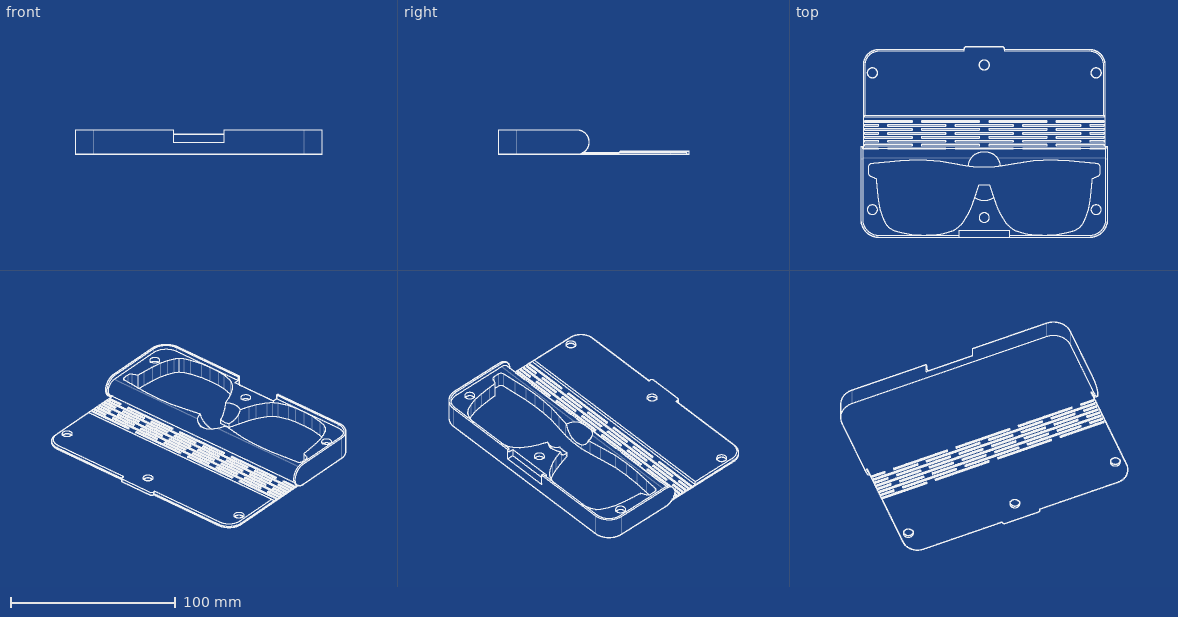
import cadquery as cq
TRAY_LENGTH = 150.0
TRAY_HEIGHT = 15.0
TRAY_BACK_Y = 55.2
TRAY_CORNER_RADIUS = 11.1
WALL = 1.2
RECESS_DEPTH = 2.7
CORE_ROUND_Y = 48.5
RIM_Z = TRAY_HEIGHT - RECESS_DEPTH

LID_WIDTH = 147.0
LID_FRONT_Y = 114.3
SHEET_THICKNESS = 1.0
LID_THICKNESS = 2.1
LID_CORNER_RADIUS = 9.6
PANEL_BACK_Y = 73.2
PANEL_BEVEL = LID_THICKNESS - SHEET_THICKNESS
TAB_WIDTH = 24.6
TAB_END_Y = 116.0
TAB_CORNER_RADIUS = 1.4

LATCH_WIDTH = 30.5
LATCH_DEPTH = 4.2
LATCH_FLOOR_Z = 7.2

SLIT_PITCH_X = 41.0
SLIT_BRIDGE = 5.8
SLIT_WIDTH = 0.9
SLIT_ROW_SPACING = 2.4
SLIT_FIRST_ROW_Y = 70.5
SLIT_ROWS = 8
SLIT_END_MARGIN = 0.9

MAGNET_DIAMETER = 6.0
MAGNET_DEPTH = 2.8
FOLD_Y = 58.5
MAGNET_CENTRES = [(-68.0, 17.0), (0.0, 12.2), (68.0, 17.0)]

POCKET_DEPTH = 10.2
SCOOP_RADIUS = 10.0
SCOOP_FRONT_Y = 32.2
SCOOP_BACK_Y = 42.6
SCOOP_CENTRE_Z = 14.4
TIP_RADIUS = 2.2

BROW = [(59.4, 45.9), (50.0, 46.8), (40.2, 47.1), (30.8, 46.8), (19.2, 45.0), (11.1, 43.6), (4.5, 42.8),
        (-4.5, 42.8), (-10.6, 43.5), (-18.2, 44.8), (-26.5, 46.4), (-34.5, 47.0), (-42.0, 47.1),
        (-49.8, 46.8), (-59.1, 45.9)]
TEMPLE_TIP = [(-70.4, 44.8), (-70.4, 37.8)]
LENS = [(-65.5, 35.7), (-65.1, 30.5), (-64.4, 23.4), (-63.3, 17.1), (-61.6, 12.3), (-59.8, 8.4),
        (-57.9, 6.0), (-55.2, 4.4), (-51.3, 3.2), (-43.8, 1.6), (-37.2, 1.4), (-30.5, 1.5), (-25.5, 2.1),
        (-18.8, 4.2), (-16.0, 6.0), (-13.5, 8.4), (-9.9, 14.1), (-7.8, 18.6), (-5.4, 25.5), (-3.3, 32.0)]


def box(x_size, y_min, y_max, z_min, z_max):
    """Block centred on X between the given Y and Z limits."""
    return (
        cq.Workplane("XY", origin=(0, (y_min + y_max) / 2, z_min))
        .box(x_size, y_max - y_min, z_max - z_min, centered=(True, True, False))
    )


def round_backed_block(length, y_front, y_round, z_min, z_max):
    """Block along X whose back is a half cylinder starting at y_round."""
    radius = (z_max - z_min) / 2
    return (
        cq.Workplane("YZ", origin=(-length / 2, 0, 0))
        .moveTo(y_front, z_min)
        .lineTo(y_round, z_min)
        .threePointArc((y_round + radius, z_min + radius), (y_round, z_max))
        .lineTo(y_front, z_max)
        .close()
        .extrude(length)
    )


def make_tray():
    round_y = TRAY_BACK_Y - TRAY_HEIGHT / 2
    shell = round_backed_block(TRAY_LENGTH, 0, round_y, 0, TRAY_HEIGHT)
    shell = shell.edges("|Z and <Y").fillet(TRAY_CORNER_RADIUS)

    inner_length = TRAY_LENGTH - 2 * WALL
    inside = box(inner_length, WALL, TRAY_BACK_Y + WALL, 0, TRAY_HEIGHT)
    inside = inside.edges("|Z and <Y").fillet(TRAY_CORNER_RADIUS - WALL)

    core = round_backed_block(inner_length, 0, CORE_ROUND_Y, SHEET_THICKNESS, RIM_Z)
    core = core.union(box(inner_length, 0, round_y, 0, SHEET_THICKNESS))
    return shell.cut(inside).union(core.intersect(inside))


def make_lid():
    sheet = box(LID_WIDTH, TRAY_BACK_Y - TRAY_HEIGHT, LID_FRONT_Y, 0, SHEET_THICKNESS)
    sheet = sheet.edges("|Z and >Y").fillet(LID_CORNER_RADIUS)
    panel = box(LID_WIDTH, PANEL_BACK_Y, LID_FRONT_Y, 0, LID_THICKNESS)
    panel = panel.edges("|Z and >Y").fillet(LID_CORNER_RADIUS)
    panel = panel.faces(">Z").edges().chamfer(PANEL_BEVEL)
    tab = box(TAB_WIDTH, LID_FRONT_Y - PANEL_BEVEL, TAB_END_Y, 0, LID_THICKNESS)
    tab = tab.edges("|Z and >Y").fillet(TAB_CORNER_RADIUS)
    return sheet.union(panel).union(tab)


def hinge_slits():
    slits = cq.Workplane("XY")
    slit_limit = LID_WIDTH / 2 - SLIT_END_MARGIN
    for row in range(SLIT_ROWS):
        y = SLIT_FIRST_ROW_Y - row * SLIT_ROW_SPACING
        shift = (row % 2) / 2
        bridges = [(i - shift) * SLIT_PITCH_X for i in range(-2, 4)]
        for left_bridge, right_bridge in zip(bridges, bridges[1:]):
            x_min = max(left_bridge + SLIT_BRIDGE / 2, -slit_limit)
            x_max = min(right_bridge - SLIT_BRIDGE / 2, slit_limit)
            if x_max > x_min:
                slit = box(x_max - x_min, y - SLIT_WIDTH / 2, y + SLIT_WIDTH / 2, 0, SHEET_THICKNESS)
                slits = slits.add(slit.translate(((x_min + x_max) / 2, 0, 0)))
    return slits.combine()


def glasses_pocket():
    left_side = TEMPLE_TIP + LENS
    right_side = [(-x, y) for x, y in reversed(left_side)]
    pocket = (
        cq.Workplane("XY", origin=(0, 0, RIM_Z - POCKET_DEPTH))
        .polyline(BROW + left_side + right_side)
        .close()
        .extrude(POCKET_DEPTH)
    )
    return pocket.edges("|Z and (<X or >X)").fillet(TIP_RADIUS)


def finger_scoop():
    """Capsule along Y, sunk across the brow and the nose bridge."""
    length = SCOOP_BACK_Y - SCOOP_FRONT_Y
    scoop = (
        cq.Workplane("XZ", origin=(0, SCOOP_BACK_Y, SCOOP_CENTRE_Z))
        .circle(SCOOP_RADIUS)
        .extrude(length)
    )
    for y in (SCOOP_FRONT_Y, SCOOP_BACK_Y):
        scoop = scoop.union(cq.Workplane("XY", origin=(0, y, SCOOP_CENTRE_Z)).sphere(SCOOP_RADIUS))
    return scoop


def magnet_holes():
    tray_holes = (
        cq.Workplane("XY", origin=(0, 0, RIM_Z - MAGNET_DEPTH))
        .pushPoints(MAGNET_CENTRES)
        .circle(MAGNET_DIAMETER / 2)
        .extrude(MAGNET_DEPTH)
    )
    lid_holes = (
        cq.Workplane("XY")
        .pushPoints([(x, 2 * FOLD_Y - y) for x, y in MAGNET_CENTRES])
        .circle(MAGNET_DIAMETER / 2)
        .extrude(LID_THICKNESS)
    )
    return tray_holes.union(lid_holes)


def latch_slot():
    """Slot open to the front and the top."""
    return box(LATCH_WIDTH, 0, LATCH_DEPTH, LATCH_FLOOR_Z, TRAY_HEIGHT)


result = (
    make_tray()
    .union(make_lid())
    .cut(hinge_slits())
    .cut(glasses_pocket())
    .cut(finger_scoop())
    .cut(magnet_holes())
    .cut(latch_slot())
)